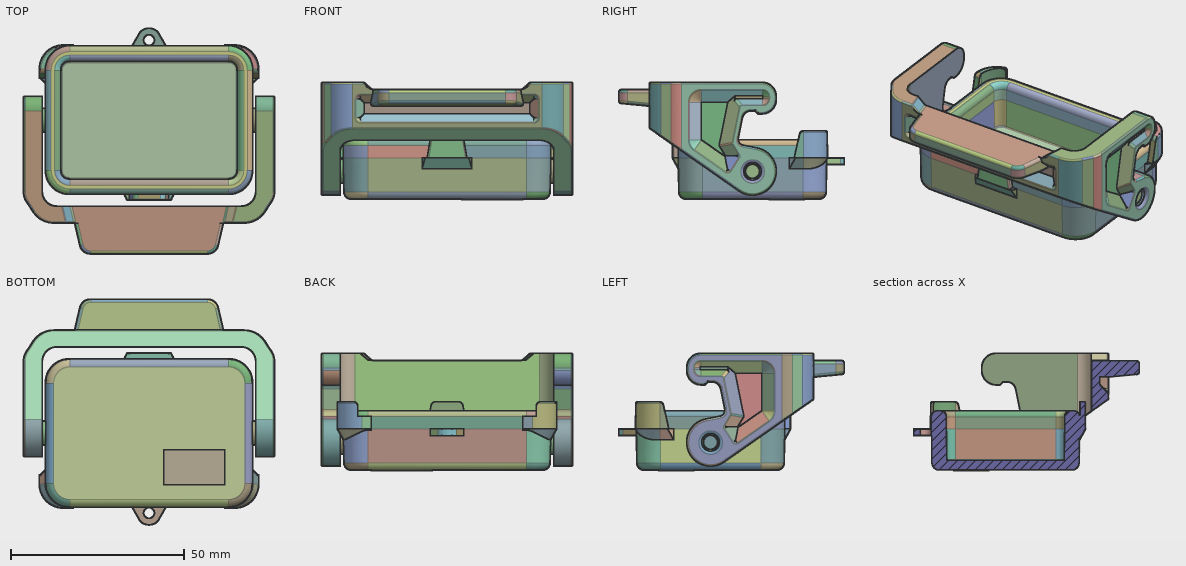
import cadquery as cq
import math


body_x, body_y = 59.95, 42.95
body_corner = 7.05
body_top = 17.4
split_z = 12.2
body_draft = 1.0
rim_round = 1.7
bottom_round = 2.2
pad_height = 0.2
pad_center = (13.05, 9.9)
pad_size = (17.55, 10.0)
cavity_wall = 4.4
floor_z = 3.1
floor_round = 0.3
mouth_round = 1.75
tab_center_y = 23.1
tab_radius = 3.5
tab_root = 4.85
tab_hole_radius = 1.5
tab_bottom = 10.2

latch_top = 20.0
latch_bottom = 9.1
latch_depth = 1.7
latch_seam_half, latch_top_half = 5.7, 4.4
latch_corner = 1.45
latch_edge_round = 0.4
foot_root_half, foot_front_half = 7.2, 6.3
ear_depth = 1.75
ear_back = 0.2
ear_top_y, ear_seam_y, ear_foot_y = 13.8, 12.05, 10.7
ear_end_x, ear_tip_x = 21.9, 25.75
ear_corner = 1.3

lever_x = 72.6
lever_top = 34.0
lever_front = -29.75
arm_thickness = 5.5
bar_thickness = 4.9
bend_x, bend_y = 31.35, -22.2
bend_side_round, bend_front_round = 5.45, 7.25
inner_bend = 4.1
edge_round = 0.5
pivot_z = 8.3
lug_radius = 6.9
lug_reach = 5.9
lean = math.radians(11.4)
rise = math.radians(35.0)
hook_tip = 6.9
hook_bottom = 24.8
hook_round = 4.2
lip_y = 1.6
throat_top = 25.7
throat_round = 2.5
crook_round = 1.7

handle_top = 31.9
handle_bottom = 27.1
handle_tip = -38.7
handle_root_half = 22.65
handle_taper = math.radians(13.0)
handle_rake = math.radians(5.5)
handle_corner = 3.3
handle_round = 0.95
step_angle = 49.0
crest_round, valley_round = 0.4, 0.9

pocket_mouth_round = 0.4
grip_half = 26.4
grip_low, grip_high = 22.4, 30.55
grip_corner = 1.45
grip_depth = 2.55
grip_flare = 45.0
pocket_flare = 57.0
pocket_tip, pocket_front = 4.8, -18.4
pocket_top = 31.85
pocket_corner = 3.6
groove_low = 27.4
groove_round = 1.95
groove_depth = 1.15
bay_waist = (-5.9, 16.4)
bay_toe = (-7.0, 7.55)
bay_depth = 2.3
heel = (-3.6, 12.7)
heel_round = 0.95
ridge_round = 1.45
collar_radius = 3.5
recess_radius = 2.55
recess_depth = 1.45
recess_floor_bevel = 0.5
recess_mouth_round = 0.9

side_x = lever_x / 2
arm_inner_x = side_x - arm_thickness
bar_inner_y = lever_front + bar_thickness
overlap = 0.7
tolerance = 0.1


def plan(z):
    return cq.Plane(origin=(0, 0, z), xDir=(1, 0, 0), normal=(0, 0, 1))


def profile(x):
    """Plane at a given X whose local axes are Y and Z; it extrudes toward +X."""
    return cq.Plane(origin=(x, 0, 0), xDir=(0, 1, 0), normal=(1, 0, 0))


def facing_front(y):
    """Plane at a given Y whose local axes are X and Z; it extrudes toward -Y."""
    return cq.Plane(origin=(0, y, 0), xDir=(1, 0, 0), normal=(0, -1, 0))


def rounded_wire(plane, corners):
    """Closed outline through (u, v, radius) corners, each rounded by its radius."""
    rounds = []
    for i, (u, v, radius) in enumerate(corners):
        corner = cq.Vector(u, v)
        back = (cq.Vector(*corners[i - 1][:2]) - corner).normalized()
        ahead = (cq.Vector(*corners[(i + 1) % len(corners)][:2]) - corner).normalized()
        half_angle = back.getAngle(ahead) / 2
        reach = radius / math.tan(half_angle)
        middle = corner + (back + ahead).normalized() * (radius / math.sin(half_angle) - radius)
        rounds.append((corner + back * reach, middle, corner + ahead * reach, radius))
    first_end = rounds[0][2]
    wire = cq.Workplane(plane).moveTo(first_end.x, first_end.y)
    for start, middle, end, radius in rounds[1:] + rounds[:1]:
        wire = wire.lineTo(start.x, start.y)
        if radius:
            wire = wire.threePointArc((middle.x, middle.y), (end.x, end.y))
    return wire.close()


def block_up(x_size, y_size, corner, bottom, top):
    """Rounded rectangular block, centred on Z."""
    sketch = cq.Sketch().rect(x_size, y_size).vertices().fillet(corner)
    return cq.Workplane(plan(bottom)).placeSketch(sketch).extrude(top - bottom)


def block_down(x_size, y_size, corner, bottom, top, draft):
    """Rounded rectangular block that narrows downward from its full size at the top."""
    sketch = cq.Sketch().rect(x_size, y_size).vertices().fillet(corner)
    upside_down = cq.Workplane(plan(-top)).placeSketch(sketch).extrude(top - bottom, taper=draft)
    return upside_down.mirror("XY")


def both_sides(shape):
    return shape.union(shape.mirror("YZ"))


def on_throat(point, z):
    """Y at height z on the line through a (Y, Z) point that leans like the throat."""
    return point[0] + (z - point[1]) * math.tan(lean)


def on_rise(point, y):
    """Z at a given Y on the line through a (Y, Z) point that slopes like the lower edge."""
    return point[1] + (point[0] - y) * math.tan(rise)


def make_housing():
    tub = block_down(body_x, body_y, body_corner, pad_height, split_z, body_draft)
    tub = tub.faces("<Z").edges().fillet(bottom_round)
    collar = block_up(body_x, body_y, body_corner, split_z, body_top)
    collar = collar.faces(">Z").edges().fillet(rim_round)

    cavity_x = body_x - 2 * cavity_wall
    cavity_y = body_y - 2 * cavity_wall
    cavity_corner = body_corner - cavity_wall
    basin = block_down(cavity_x, cavity_y, cavity_corner, floor_z, split_z, body_draft)
    basin = basin.faces("<Z").edges().fillet(floor_round)
    mouth = block_up(cavity_x, cavity_y, cavity_corner, split_z, body_top)
    housing = tub.union(collar).cut(basin).cut(mouth)

    mouth_edges = cq.selectors.BoxSelector(
        (-cavity_x / 2 - tolerance, -cavity_y / 2 - tolerance, body_top - tolerance),
        (cavity_x / 2 + tolerance, cavity_y / 2 + tolerance, body_top + tolerance))
    return housing.edges(mouth_edges).fillet(mouth_round)


def make_pad():
    pad = cq.Workplane(plan(0)).center(*pad_center).rect(*pad_size)
    return pad.extrude(2 * pad_height)


def make_cord_tab():
    """Drilled tab at the back, narrowing from its root to a round end."""
    root_y = body_y / 2
    tilt = math.atan2(tab_center_y - root_y, tab_root - tab_radius)
    arc_x = tab_radius * math.sin(tilt)
    arc_y = tab_center_y + tab_radius * math.cos(tilt)
    thickness = split_z - tab_bottom
    tab = (
        cq.Workplane(plan(tab_bottom))
        .moveTo(-tab_root, root_y - overlap)
        .lineTo(tab_root, root_y - overlap)
        .lineTo(tab_root, root_y)
        .lineTo(arc_x, arc_y)
        .threePointArc((0, tab_center_y + tab_radius), (-arc_x, arc_y))
        .lineTo(-tab_root, root_y)
        .close()
        .extrude(thickness)
    )
    hole = cq.Workplane(plan(tab_bottom)).center(0, tab_center_y).circle(tab_hole_radius)
    return tab.cut(hole.extrude(thickness))


def make_latch():
    """Tapered tongue on the housing front, standing on a foot that slopes back below."""
    back = -body_y / 2
    inside = back + rim_round
    front = back - latch_depth
    tongue = rounded_wire(facing_front(back), [
        (-latch_seam_half, split_z, 0),
        (latch_seam_half, split_z, 0),
        (latch_top_half, latch_top, latch_corner),
        (-latch_top_half, latch_top, latch_corner),
    ]).extrude(latch_depth)
    tongue = tongue.faces("<Y").edges("not <Z").fillet(latch_edge_round)

    foot_plan = rounded_wire(plan(latch_bottom), [
        (-foot_root_half, inside, 0),
        (foot_root_half, inside, 0),
        (foot_root_half, back, 0),
        (foot_front_half, front, 0),
        (-foot_front_half, front, 0),
        (-foot_root_half, back, 0),
    ]).extrude(split_z - latch_bottom)
    foot_side = rounded_wire(profile(-foot_root_half), [
        (inside, latch_bottom, 0),
        (back, latch_bottom, 0),
        (front, split_z, 0),
        (inside, split_z, 0),
    ]).extrude(2 * foot_root_half)
    return tongue.union(foot_plan.intersect(foot_side))


def make_ears():
    """Curved tongues around the two back corners, each on a foot that narrows downward."""
    outer_x = body_x + 2 * ear_depth
    outer_y = body_y + 2 * ear_back
    shoulder_z = body_top - rim_round
    tongue = block_up(outer_x, outer_y, body_corner, split_z, latch_top)
    tongue = tongue.faces(">Z").edges().fillet(latch_edge_round)
    tongue = tongue.cut(block_up(body_x, body_y, body_corner, split_z, latch_top))
    side_outline = rounded_wire(profile(0), [
        (outer_y, split_z, 0),
        (outer_y, latch_top, 0),
        (ear_top_y, latch_top, ear_corner),
        (ear_seam_y, split_z, 0),
    ]).extrude(outer_x)
    back_outline = rounded_wire(facing_front(outer_y), [
        (outer_x, split_z, 0),
        (outer_x, latch_top, 0),
        (ear_tip_x, latch_top, ear_corner),
        (ear_tip_x, shoulder_z, 0),
        (ear_end_x, shoulder_z, 0),
        (ear_end_x, split_z, 0),
    ]).extrude(outer_y)
    tongue = tongue.intersect(side_outline).intersect(back_outline)

    drop = split_z - latch_bottom
    foot_draft = math.degrees(math.atan(ear_depth / drop))
    foot = block_down(outer_x, outer_y, body_corner, latch_bottom, split_z, foot_draft)
    footprint = rounded_wire(plan(latch_bottom), [
        (ear_end_x, ear_foot_y, 0),
        (body_x / 2, ear_foot_y, 0),
        (outer_x / 2, ear_foot_y + ear_depth, 0),
        (outer_x / 2, outer_y, 0),
        (ear_end_x, outer_y, 0),
    ]).extrude(drop)
    core = block_up(
        body_x - cavity_wall, body_y - cavity_wall, body_corner - cavity_wall / 2, latch_bottom, split_z)
    return both_sides(tongue.union(foot.intersect(footprint).cut(core)))


def make_lever():
    """Side profile swept across X, trimmed to the U-shaped plan, outer edges rounded."""
    lug_top = (lug_radius * math.sin(lean), pivot_z + lug_radius * math.cos(lean))
    lug_low = (-lug_radius * math.sin(rise), pivot_z - lug_radius * math.cos(rise))
    crook = (lug_top[0] - lug_reach * math.cos(lean), lug_top[1] + lug_reach * math.sin(lean))
    side = rounded_wire(profile(-side_x), [
        (hook_tip, lever_top, hook_round),
        (hook_tip, hook_bottom, hook_round),
        (lip_y, hook_bottom, 0),
        (lip_y - (throat_top - hook_bottom), throat_top, 0),
        (on_throat(crook, throat_top), throat_top, throat_round),
        (*crook, crook_round),
        (*lug_top, 0),
        (0, pivot_z, 0),
        (*lug_low, 0),
        (lever_front, on_rise(lug_low, lever_front), 0),
        (lever_front, lever_top, 0),
    ]).extrude(lever_x)
    lug = cq.Workplane(profile(-side_x)).center(0, pivot_z).circle(lug_radius)
    side = side.union(lug.extrude(lever_x))

    open_end = hook_tip + overlap
    outer = rounded_wire(plan(0), [
        (-side_x, open_end, 0),
        (-side_x, bend_y, bend_side_round),
        (-bend_x, lever_front, bend_front_round),
        (bend_x, lever_front, bend_front_round),
        (side_x, bend_y, bend_side_round),
        (side_x, open_end, 0),
    ]).extrude(lever_top)
    inner = rounded_wire(plan(0), [
        (-arm_inner_x, open_end, 0),
        (-arm_inner_x, bar_inner_y, inner_bend),
        (arm_inner_x, bar_inner_y, inner_bend),
        (arm_inner_x, open_end, 0),
    ]).extrude(lever_top)
    lever = side.intersect(outer)
    lever = lever.faces("<X or >X").edges("not |Z").fillet(edge_round)
    return lever.cut(inner)


def handle_outline(z, front, back):
    """Trapezoid between two Y positions that follows the tapered sides of the handle."""
    front_half = handle_root_half - (bar_inner_y - front) * math.tan(handle_taper)
    back_half = handle_root_half - (bar_inner_y - back) * math.tan(handle_taper)
    return rounded_wire(plan(z), [
        (-back_half, back, 0),
        (back_half, back, 0),
        (front_half, front, handle_corner),
        (-front_half, front, handle_corner),
    ])


def make_handle():
    blank = handle_outline(handle_bottom, handle_tip, bar_inner_y).extrude(handle_top - handle_bottom)
    tip_bottom = handle_bottom + (lever_front - handle_tip) * math.tan(handle_rake)
    side = rounded_wire(profile(-side_x), [
        (bar_inner_y, handle_bottom, 0),
        (lever_front, handle_bottom, 0),
        (handle_tip, tip_bottom, 0),
        (handle_tip, handle_top, 0),
        (bar_inner_y, handle_top, 0),
    ]).extrude(lever_x)
    handle = blank.intersect(side)
    handle = handle.edges(">Z and (not >Y)").fillet(handle_round)
    lower_half = cq.selectors.BoxSelector(
        (-side_x, handle_tip - tolerance, handle_bottom - tolerance),
        (side_x, bar_inner_y - tolerance, (handle_bottom + handle_top) / 2))
    return handle.edges(lower_half).edges("not |Z").edges("not |X or <Y").fillet(handle_round)


def cut_step(lever):
    """Lower the bar top to the handle top, with sloping ends rounded above and below."""
    step = handle_outline(handle_top, lever_front - bar_thickness, bar_inner_y + bar_thickness)
    lever = lever.cut(step.extrude(lever_top - handle_top, taper=-step_angle))
    middle = (lever_front + bar_inner_y) / 2
    reach = bar_thickness / 4
    for z, half, radius in (
        (lever_top, side_x, crest_round),
        (handle_top, handle_root_half, valley_round),
    ):
        ends = cq.selectors.BoxSelector(
            (-half, middle - reach, z - tolerance), (half, middle + reach, z + tolerance))
        lever = lever.edges(ends).edges("not |X").edges("not |Y").fillet(radius)
    return lever


def round_mouths(lever, faces):
    """Round every opening in the chosen flat faces."""
    openings = [wire for face in lever.faces(faces).vals() for wire in face.innerWires()]
    mouths = [edge for wire in openings for edge in wire.Edges()]
    return lever.newObject(mouths).fillet(pocket_mouth_round)


def cut_grip_pocket(lever):
    """Shallow flared pocket in the front face of the bar, around the handle."""
    pocket = rounded_wire(facing_front(lever_front), [
        (-grip_half, grip_low, grip_corner),
        (grip_half, grip_low, grip_corner),
        (grip_half, grip_high, grip_corner),
        (-grip_half, grip_high, grip_corner),
    ]).extrude(-grip_depth, taper=grip_flare)
    return round_mouths(lever.cut(pocket), "<Y")


def flared_pocket(corners, depth):
    """Pocket sunk into the left arm from its outer face with flared walls."""
    return rounded_wire(profile(-side_x), corners).extrude(depth, taper=pocket_flare)


def inward_edge(pocket, y, z):
    """Edge that runs inward from the (y, z) corner of a pocket's mouth."""
    corner = cq.Vector(-side_x, y, z)
    inward = [edge for edge in pocket.edges().vals() if edge.Center().x > tolerance - side_x]
    return min(inward, key=lambda edge: min(
        (edge.startPoint() - corner).Length, (edge.endPoint() - corner).Length))


def cut_arm_pockets(lever):
    """One pocket per arm, joined from a groove along the hook, a main bay and a low corner."""
    groove = flared_pocket([
        (pocket_tip, pocket_top, groove_round),
        (pocket_tip, groove_low, groove_round),
        (pocket_front, groove_low, 0),
        (pocket_front, pocket_top, pocket_corner),
    ], groove_depth)

    run = on_rise(bay_toe, on_throat(bay_waist, bay_toe[1])) - bay_toe[1]
    bay_foot_z = bay_toe[1] + run / (1 + math.tan(rise) * math.tan(lean))
    bay = flared_pocket([
        (on_throat(bay_waist, pocket_top), pocket_top, 0),
        (on_throat(bay_waist, bay_foot_z), bay_foot_z, heel_round),
        (pocket_front, on_rise(bay_toe, pocket_front), pocket_corner),
        (pocket_front, pocket_top, pocket_corner),
    ], bay_depth)

    waist_y, waist_z = bay_waist
    heel_y, heel_z = heel
    low_front_y = pocket_front + bay_depth
    low = flared_pocket([
        (*heel, heel_round),
        (*bay_toe, heel_round),
        (low_front_y, on_rise(bay_toe, low_front_y), 0),
        (heel_y + 3 * (waist_y - heel_y), heel_z + 3 * (waist_z - heel_z), 0),
    ], bay_depth)

    pocket = groove.union(bay).union(low)
    elbow = (on_throat(bay_waist, groove_low), groove_low)
    for y, z in (elbow, bay_waist):
        pocket = pocket.newObject([inward_edge(pocket, y, z)]).fillet(ridge_round)
    return round_mouths(lever.cut(both_sides(pocket)), "<X or >X")


def make_collars():
    """Short round collars that join the housing sides to the arms."""
    start = arm_inner_x + overlap
    length = start - (body_x / 2 - overlap)
    collar = cq.Workplane(profile(-start)).center(0, pivot_z).circle(collar_radius)
    return both_sides(collar.extrude(length))


def cut_pivot_recesses(lever):
    """Blind recess in each lug with a rounded mouth and a bevelled floor."""
    recess = cq.Workplane(profile(-side_x)).center(0, pivot_z).circle(recess_radius)
    recess = recess.extrude(recess_depth).faces(">X").edges().chamfer(recess_floor_bevel)
    lever = lever.cut(both_sides(recess))
    mouths = cq.selectors.BoxSelector(
        (-lever_x, -tolerance, pivot_z - tolerance), (lever_x, tolerance, pivot_z + tolerance))
    return lever.faces("<X or >X").edges(mouths).fillet(recess_mouth_round)


housing = make_housing().union(make_pad()).union(make_cord_tab())
housing = housing.union(make_latch()).union(make_ears())

lever = cut_step(make_lever())
lever = cut_grip_pocket(lever)
lever = cut_arm_pockets(lever)
lever = cut_pivot_recesses(lever).union(make_handle())

result = housing.union(make_collars()).union(lever)